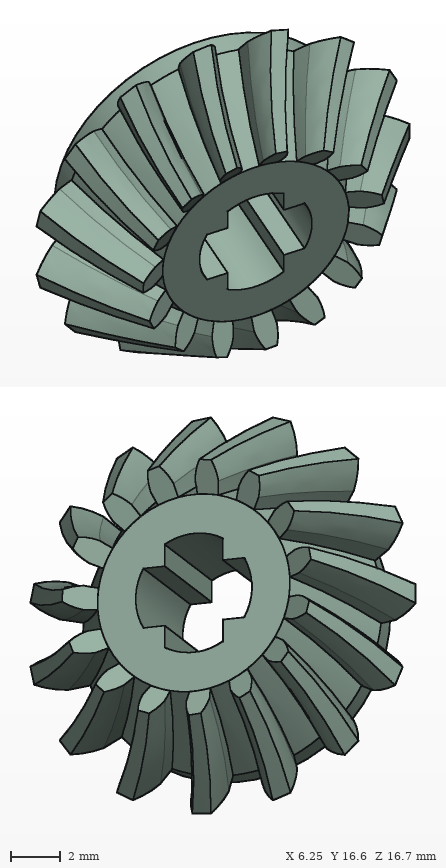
import cadquery as cq
import math


plate_radius = 6.45
plate_thickness = 1.0
total_length = 6.25

tooth_count = 15
tip_radius = 8.36
tip_x = 2.22
apex_x = 13.49
tooth_twist = 9.6
tooth_embed = 0.67

base_radius = 7.26
base_half_angle = 6.25
flank_radius = 7.9
flank_half_angle = 4.6
tip_half_angle = 2.75

bore_radius = 2.5
cross_width = 2.5

small_scale = (apex_x - total_length) / (apex_x - tip_x)
hub_length = apex_x - small_scale * (apex_x - plate_thickness)
hub_radius = small_scale * plate_radius

cone_slope = (tip_x - plate_thickness) / (tip_radius - plate_radius)


def make_blank():
    """Plate followed by the root cone."""
    return (
        cq.Workplane("XY")
        .lineTo(0, plate_radius)
        .lineTo(plate_thickness, plate_radius)
        .lineTo(hub_length, hub_radius)
        .lineTo(hub_length, 0)
        .close()
        .revolve(360, (0, 0, 0), (1, 0, 0))
    )


def outline_point(radius, half_angle, side, scale, turn):
    """Point of the tooth outline, set on a plane touching the back cone, then shrunk and turned."""
    angle = math.radians(half_angle)
    height = radius * math.cos(angle)
    width = side * radius * math.sin(angle)
    x = plate_thickness + (height - plate_radius) * cone_slope
    point = cq.Vector(x - apex_x, height, width) * scale
    c, s = math.cos(math.radians(turn)), math.sin(math.radians(turn))
    return cq.Vector(point.x + apex_x, point.y * c - point.z * s, point.y * s + point.z * c)


def tooth_outline(scale, turn):
    """Closed outline across a tooth: straight roots, arched flanks and a flat tip."""
    def flank(side):
        stations = [
            (plate_radius - tooth_embed, base_half_angle),
            (base_radius, base_half_angle),
            (flank_radius, flank_half_angle),
            (tip_radius, tip_half_angle),
        ]
        return [outline_point(radius, angle, side, scale, turn) for radius, angle in stations]

    root_a, base_a, mid_a, tip_a = flank(-1)
    root_b, base_b, mid_b, tip_b = flank(1)
    return cq.Wire.assembleEdges([
        cq.Edge.makeLine(root_a, base_a),
        cq.Edge.makeThreePointArc(base_a, mid_a, tip_a),
        cq.Edge.makeLine(tip_a, tip_b),
        cq.Edge.makeThreePointArc(tip_b, mid_b, base_b),
        cq.Edge.makeLine(base_b, root_b),
        cq.Edge.makeLine(root_b, root_a),
    ])


def make_tooth():
    """Tooth that starts on +Y and turns evenly while it shrinks to its small end."""
    big_end = tooth_outline(1, 0)
    middle = tooth_outline((1 + small_scale) / 2, tooth_twist / 2)
    small_end = tooth_outline(small_scale, tooth_twist)
    return cq.Solid.makeLoft([big_end, middle, small_end])


def make_bore():
    """Round bore narrowed to a cross by four square corners."""
    round_bore = cq.Workplane("YZ").circle(bore_radius).extrude(hub_length)
    bar_y = cq.Workplane("YZ").rect(2 * bore_radius, cross_width).extrude(hub_length)
    bar_z = cq.Workplane("YZ").rect(cross_width, 2 * bore_radius).extrude(hub_length)
    return round_bore.intersect(bar_y.union(bar_z))


result = make_blank()
tooth = make_tooth()
for index in range(tooth_count):
    turned_tooth = tooth.rotate(cq.Vector(0, 0, 0), cq.Vector(1, 0, 0), index * 360 / tooth_count)
    result = result.union(cq.Workplane(obj=turned_tooth))
result = result.cut(make_bore())